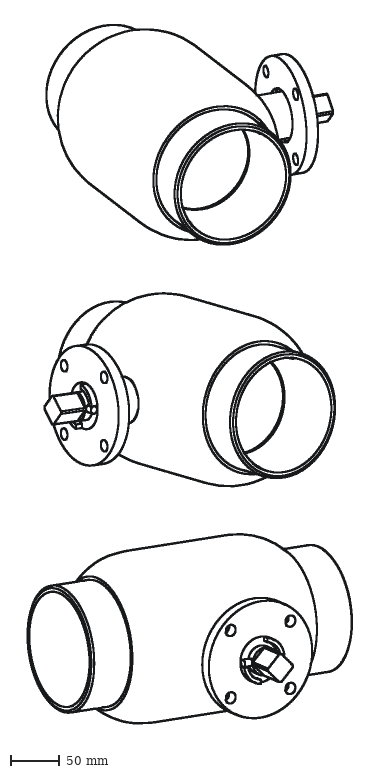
import cadquery as cq
import math


shell_radius = 90.0
shell_end_radius = 70.0
shell_half_length = 111.5
shell_straight_half = 61.5

pipe_outer_radius = 66.5
pipe_mouth_radius = 60.25
pipe_bore_radius = 58.5
pipe_throat_radius = 53.75
pipe_end_x = 157.5
pipe_length = 78.0
pipe_chamfer_length = 2.0
pipe_chamfer_depth = 2.5
mouth_straight_length = 5.5
mouth_taper_length = 10.0
pipe_bore_length = 54.5
pipe_throat_length = 3.0
pipe_inner_x = pipe_end_x - pipe_length

neck_radius = 24.5
neck_base_y = shell_radius
spigot_radius = 22.75
spigot_depth = 8.0
spigot_base_y = neck_base_y - spigot_depth
lug_inner_radius = 20.0
lug_height = 7.4
lug_side_offset = 4.0

flange_radius = 62.5
flange_base_y = 128.5
flange_thickness = 13.3
flange_top_y = flange_base_y + flange_thickness
flange_recess_radius = 28.5
flange_recess_depth = 5.0
bolt_circle_diameter = 102.0
bolt_hole_diameter = 12.0
bolt_count = 4
neck_top_y = flange_top_y + lug_height

stem_radius = 15.0
stem_top_y = 181.46
square_size = 23.0
square_length = 30.4
square_base_y = stem_top_y - square_length

pin_radius = 4.0
pin_half_length = 23.5
pin_y = flange_top_y + pin_radius


def arc_middle(center, radius, angle):
    """Point on a circle at the given angle from +X, in radians."""
    return (center[0] + radius * math.cos(angle), center[1] + radius * math.sin(angle))


def tangent_arc_radius(run, drop):
    """Radius of an arc that starts along the axis and falls by drop over the run."""
    return (run**2 + drop**2) / (2 * drop)


def disc_along_y(radius, base_y, top_y):
    """Cylinder on the stem axis between two heights."""
    plane = cq.Plane(origin=(0, base_y, 0), xDir=(1, 0, 0), normal=(0, 1, 0))
    return cq.Workplane(plane).circle(radius).extrude(top_y - base_y)


def cylinder_along_x(radius, start_x, end_x, y=0.0):
    """Cylinder parallel to the flow axis between two stations."""
    return cq.Workplane("YZ", origin=(start_x, y, 0)).circle(radius).extrude(end_x - start_x)


def make_shell():
    """Barrel with domed ends, a through bore, pipe sockets and a seat for the neck spigot."""
    dome_run = shell_half_length - shell_straight_half
    dome_radius = tangent_arc_radius(dome_run, shell_radius - shell_end_radius)
    dome_half_angle = math.asin(dome_run / dome_radius) / 2
    dome_center_y = shell_radius - dome_radius
    right_middle = arc_middle((shell_straight_half, dome_center_y), dome_radius, math.pi / 2 - dome_half_angle)
    left_middle = (-right_middle[0], right_middle[1])
    barrel = (
        cq.Workplane("XY")
        .moveTo(-shell_half_length, 0)
        .lineTo(-shell_half_length, shell_end_radius)
        .threePointArc(left_middle, (-shell_straight_half, shell_radius))
        .lineTo(shell_straight_half, shell_radius)
        .threePointArc(right_middle, (shell_half_length, shell_end_radius))
        .lineTo(shell_half_length, 0)
        .close()
        .revolve(360, (0, 0, 0), (1, 0, 0))
    )
    barrel = barrel.cut(cylinder_along_x(pipe_throat_radius, -shell_half_length, shell_half_length))
    for side in (-1, 1):
        barrel = barrel.cut(cylinder_along_x(pipe_outer_radius, side * pipe_inner_x, side * shell_half_length))
    return barrel.cut(disc_along_y(spigot_radius, spigot_base_y, shell_radius))


def make_pipe(side):
    """Weld-end pipe on one side: chamfered mouth, inner taper, bore and rounded throat."""
    throat_start = pipe_length - pipe_throat_length
    curve_run = throat_start - pipe_bore_length
    curve_radius = tangent_arc_radius(curve_run, pipe_bore_radius - pipe_throat_radius)
    curve_half_angle = math.asin(curve_run / curve_radius) / 2
    curve_center = (pipe_bore_length, pipe_bore_radius - curve_radius)
    curve_middle = arc_middle(curve_center, curve_radius, math.pi / 2 - curve_half_angle)

    def place(depth, radius):
        return (side * (pipe_end_x - depth), radius)

    return (
        cq.Workplane("XY")
        .moveTo(*place(0, pipe_mouth_radius))
        .lineTo(*place(mouth_straight_length, pipe_mouth_radius))
        .lineTo(*place(mouth_straight_length + mouth_taper_length, pipe_bore_radius))
        .lineTo(*place(pipe_bore_length, pipe_bore_radius))
        .threePointArc(place(*curve_middle), place(throat_start, pipe_throat_radius))
        .lineTo(*place(pipe_length, pipe_throat_radius))
        .lineTo(*place(pipe_length, pipe_outer_radius))
        .lineTo(*place(pipe_chamfer_length, pipe_outer_radius))
        .lineTo(*place(0, pipe_outer_radius - pipe_chamfer_depth))
        .close()
        .revolve(360, (0, 0, 0), (1, 0, 0))
    )


def make_stop_lug(side):
    """Quarter-ring lug: the upper one lies at -X and +Z, the lower one opposite."""
    ring = disc_along_y(neck_radius, flange_top_y, neck_top_y).cut(
        disc_along_y(lug_inner_radius, flange_top_y, neck_top_y)
    )
    corner = cq.Workplane("XY").box(neck_radius, lug_height, neck_radius).translate(
        (
            -side * (lug_side_offset + neck_radius / 2),
            flange_top_y + lug_height / 2,
            side * (lug_side_offset + neck_radius / 2),
        )
    )
    return ring.intersect(corner)


def make_neck():
    """Stem housing: spigot, barrel and two stop lugs, bored for the stem."""
    neck = disc_along_y(neck_radius, neck_base_y, flange_top_y)
    neck = neck.union(disc_along_y(spigot_radius, spigot_base_y, neck_base_y))
    neck = neck.cut(disc_along_y(stem_radius, spigot_base_y, flange_top_y))
    for side in (-1, 1):
        neck = neck.union(make_stop_lug(side))
    return neck


def make_flange():
    """Round mounting plate around the neck, recessed underneath, with four bolt holes."""
    flange = disc_along_y(flange_radius, flange_base_y, flange_top_y)
    flange = flange.cut(disc_along_y(neck_radius, flange_base_y, flange_top_y))
    flange = flange.cut(
        disc_along_y(flange_recess_radius, flange_base_y, flange_base_y + flange_recess_depth)
    )
    hole = disc_along_y(bolt_hole_diameter / 2, flange_base_y, flange_top_y)
    for index in range(bolt_count):
        angle = math.pi / bolt_count + index * 2 * math.pi / bolt_count
        x, z = arc_middle((0, 0), bolt_circle_diameter / 2, angle)
        flange = flange.cut(hole.translate((x, 0, z)))
    return flange


def make_stem():
    """Round stem with a square drive turned corner-up and a cross hole for the pin."""
    stem = disc_along_y(stem_radius, spigot_base_y, square_base_y)
    square = (
        cq.Workplane("XY")
        .box(square_size, square_length, square_size)
        .rotate((0, 0, 0), (0, 1, 0), 45)
        .translate((0, square_base_y + square_length / 2, 0))
    )
    drive = square.intersect(disc_along_y(stem_radius, square_base_y, stem_top_y))
    return stem.union(drive).cut(make_pin())


def make_pin():
    """Straight pin through the stem, between the stop lugs."""
    return cylinder_along_x(pin_radius, -pin_half_length, pin_half_length, pin_y)


shell = make_shell()
pipes = [make_pipe(side) for side in (-1, 1)]
neck = make_neck()
flange = make_flange()
stem = make_stem()
pin = make_pin()

result = cq.Compound.makeCompound(
    [shell.val(), *[pipe.val() for pipe in pipes], neck.val(), flange.val(), stem.val(), pin.val()]
)